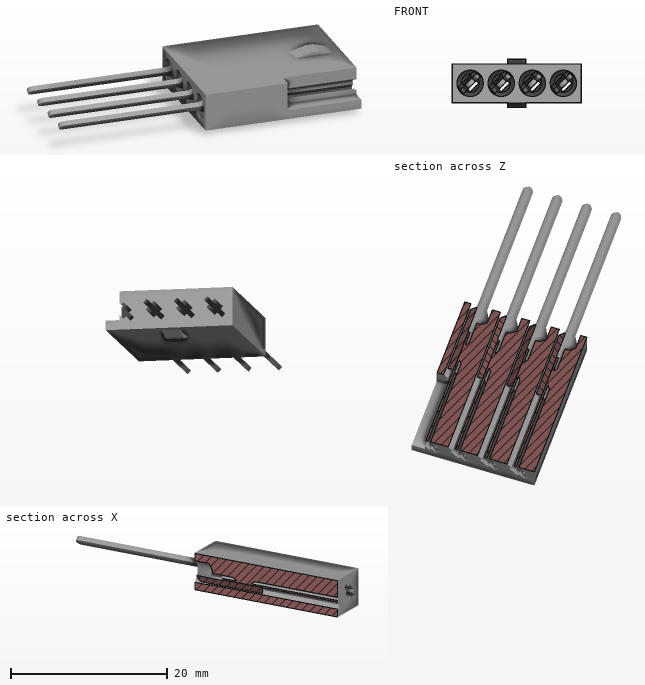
import cadquery as cq
import math

HOUSING_WIDTH = 16.55
HOUSING_LENGTH = 21.15
HOUSING_HEIGHT = 5.0

STEP_WIDTH = 1.8
STEP_LENGTH = 10.0
STEP_DEPTH = 0.75 * HOUSING_HEIGHT

LATCH_WIDTH = 2.35
LATCH_HEIGHT = 0.6
LATCH_SETBACK = 1.0
LATCH_RAMP = 2.18
LATCH_FLAT = 1.1

PIN_COUNT = 4
PIN_ROW_LENGTH = 11.93
PIN_PITCH = PIN_ROW_LENGTH / (PIN_COUNT - 1)
PIN_TILT = 45.0

OVERALL_LENGTH = 40.3
TAIL_LENGTH = OVERALL_LENGTH - HOUSING_LENGTH
TAIL_WIDTH = 1.25
BLADE_THICKNESS = 0.65
ROOT_WIDTH = 3.05
FLARE_START = 0.25
FLARE_LENGTH = 1.1
ROOT_LENGTH = 10.07

MOUTH_RADIUS = 1.7
MOUTH_DEPTH = 2.0
THROAT_RADIUS = 1.15
THROAT_DEPTH = MOUTH_DEPTH + MOUTH_RADIUS - THROAT_RADIUS
CHANNEL_SIDE = 1.55
SLOT_WIDTH = 3.3

POCKET_WIDTH = 2.82
POCKET_DEPTH = 4.03

RIB_RADIUS = 3.22
RIB_POSITION = 7.25


def pin_positions():
    first = -PIN_ROW_LENGTH / 2
    return [first + PIN_PITCH * i for i in range(PIN_COUNT)]


def place(body, x):
    """Tilt a body made around the Y axis and move it to a pin position."""
    return body.rotate((0, 0, 0), (0, 1, 0), -PIN_TILT).translate((x, 0, 0))


def make_block():
    block = cq.Workplane("XY").box(
        HOUSING_WIDTH, HOUSING_LENGTH, HOUSING_HEIGHT, centered=(True, False, True)
    )
    step = cq.Workplane("XY").box(STEP_WIDTH, STEP_LENGTH, STEP_DEPTH, centered=False)
    corner = (
        HOUSING_WIDTH / 2 - STEP_WIDTH,
        HOUSING_LENGTH - STEP_LENGTH,
        HOUSING_HEIGHT / 2 - STEP_DEPTH,
    )
    return block.cut(step.translate(corner))


def make_latch():
    """Bump on the top face: a ramp up, a short flat and a ramp down."""
    base = HOUSING_HEIGHT / 2
    crest = base + LATCH_HEIGHT
    back = HOUSING_LENGTH - LATCH_SETBACK
    outline = [
        (back, base),
        (back - LATCH_RAMP, crest),
        (back - LATCH_RAMP - LATCH_FLAT, crest),
        (back - 2 * LATCH_RAMP - LATCH_FLAT, base),
    ]
    return cq.Workplane("YZ").polyline(outline).close().extrude(LATCH_WIDTH / 2, both=True)


def make_rib():
    """Rounded rib across the channel, its crest touching the blade face."""
    wall = CHANNEL_SIDE / 2
    crest = BLADE_THICKNESS / 2
    half_chord = math.sqrt(RIB_RADIUS**2 - (RIB_RADIUS - wall + crest) ** 2)
    return (
        cq.Workplane("YZ")
        .moveTo(RIB_POSITION - half_chord, wall)
        .threePointArc((RIB_POSITION, crest), (RIB_POSITION + half_chord, wall))
        .close()
        .extrude(CHANNEL_SIDE / 2, both=True)
    )


def make_mouth():
    """Round entry with a conical bottom, turned about the Y axis."""
    outline = [
        (0, 0),
        (MOUTH_RADIUS, 0),
        (MOUTH_RADIUS, MOUTH_DEPTH),
        (THROAT_RADIUS, THROAT_DEPTH),
        (0, THROAT_DEPTH),
    ]
    return cq.Workplane("XY").polyline(outline).close().revolve(360, (0, 0), (0, 1))


def make_passage():
    """All the space removed from the housing for one pin, before tilting."""
    start = cq.Workplane("XY")
    channel = start.box(CHANNEL_SIDE, HOUSING_LENGTH, CHANNEL_SIDE, centered=(True, False, True))
    slot = start.box(SLOT_WIDTH, HOUSING_LENGTH, BLADE_THICKNESS, centered=(True, False, True))
    pocket = start.box(POCKET_WIDTH, POCKET_DEPTH, CHANNEL_SIDE / 2, centered=(True, False, False))
    return make_mouth().union(channel.cut(make_rib())).union(slot).union(pocket)


def make_housing():
    latch = make_latch()
    housing = make_block().union(latch).union(latch.mirror("XY"))
    passage = make_passage()
    for x in pin_positions():
        housing = housing.cut(place(passage, x))
    return housing


def make_pin(x):
    tail = TAIL_WIDTH / 2
    root = ROOT_WIDTH / 2
    flare_end = FLARE_LENGTH - FLARE_START
    round_start = -TAIL_LENGTH + tail
    blade = (
        cq.Workplane("XY")
        .moveTo(root, ROOT_LENGTH)
        .lineTo(root, flare_end)
        .lineTo(tail, -FLARE_START)
        .lineTo(tail, round_start)
        .threePointArc((0, -TAIL_LENGTH), (-tail, round_start))
        .lineTo(-tail, -FLARE_START)
        .lineTo(-root, flare_end)
        .lineTo(-root, ROOT_LENGTH)
        .close()
        .extrude(BLADE_THICKNESS / 2, both=True)
    )
    return place(blade, x)


housing = make_housing()
pins = [make_pin(x) for x in pin_positions()]

result = cq.Compound.makeCompound([housing.val(), *[pin.val() for pin in pins]])